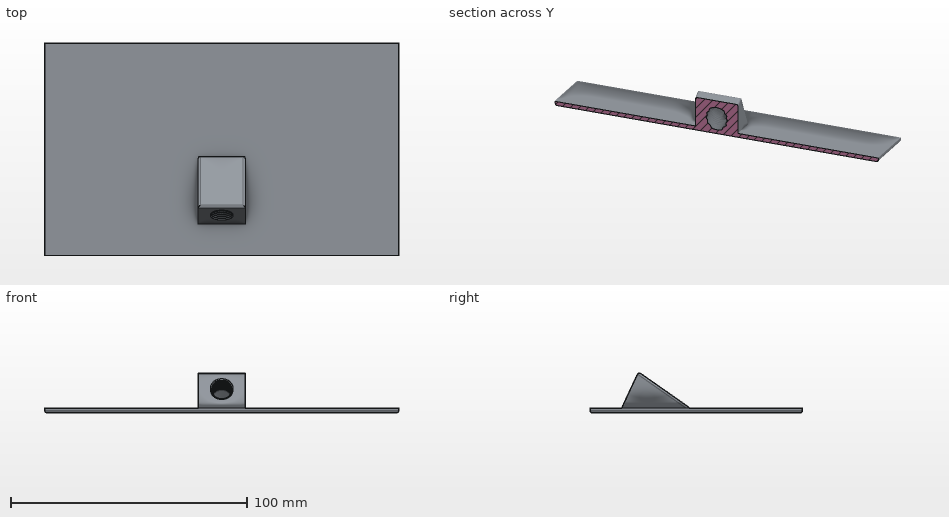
import cadquery as cq
import math

plate_length = 150.0
plate_width = 90.0
plate_thickness = 2.0
plate_edge_radius = 1.0

overall_height = 16.88
block_width = 20.0
block_root_depth = plate_thickness / 2
front_foot_y = -31.65
rear_wall_y = -2.9
front_angle = math.radians(65.0)
ramp_angle = math.radians(35.0)
ramp_edge_radius = 1.0

crest_half_angle = (math.pi - front_angle - ramp_angle) / 2
crest_tilt = (front_angle - ramp_angle) / 2
fillet_drop = ramp_edge_radius * (math.cos(crest_tilt) / math.sin(crest_half_angle) - 1)
crest_height = overall_height - plate_thickness + fillet_drop
crest_y = front_foot_y + crest_height / math.tan(front_angle)
crest_z = plate_thickness + crest_height
rear_wall_top_z = crest_z - (rear_wall_y - crest_y) * math.tan(ramp_angle)

bore_diameter = 8.6
thread_major_diameter = 9.73
thread_pitch = 0.907
thread_groove_count = 11
drill_tip_angle = math.radians(118.0)
port_z = 10.1

port_y = front_foot_y + (port_z - plate_thickness) / math.tan(front_angle)

port_plane = cq.Plane(
    origin=(0, port_y, port_z),
    xDir=(0, -math.cos(front_angle), -math.sin(front_angle)),
    normal=(1, 0, 0),
)


def make_plate():
    plate = cq.Workplane("XY").box(plate_length, plate_width, plate_thickness, centered=(True, True, False))
    return plate.faces("<Z").edges().fillet(plate_edge_radius)


def make_block():
    """Wedge rooted in the plate, with the sides, crest and rear end of its ramp rounded."""
    root_z = plate_thickness - block_root_depth
    profile = [
        (front_foot_y, root_z),
        (front_foot_y, plate_thickness),
        (crest_y, crest_z),
        (rear_wall_y, rear_wall_top_z),
        (rear_wall_y, root_z),
    ]
    block = cq.Workplane("YZ").polyline(profile).close().extrude(block_width / 2, both=True)
    ramp_middle = (0, (crest_y + rear_wall_y) / 2, (crest_z + rear_wall_top_z) / 2)
    ramp = block.faces(cq.selectors.NearestToPointSelector(ramp_middle))
    return ramp.edges().fillet(ramp_edge_radius)


def make_port():
    """Bore with ring-shaped thread grooves, at full thread depth on the face, ending in a drill cone."""
    bore_radius = bore_diameter / 2
    major_radius = thread_major_diameter / 2
    outline = [(0, 0), (major_radius, 0)]
    for index in range(thread_groove_count):
        outline.append((bore_radius, (index + 0.5) * thread_pitch))
        outline.append((major_radius, (index + 1) * thread_pitch))
    bore_depth = (thread_groove_count + 0.5) * thread_pitch
    tip_depth = bore_depth + bore_radius / math.tan(drill_tip_angle / 2)
    outline.append((bore_radius, bore_depth))
    outline.append((0, tip_depth))
    return cq.Workplane(port_plane).polyline(outline).close().revolve(360, (0, 0), (0, 1))


result = make_plate().union(make_block()).cut(make_port())